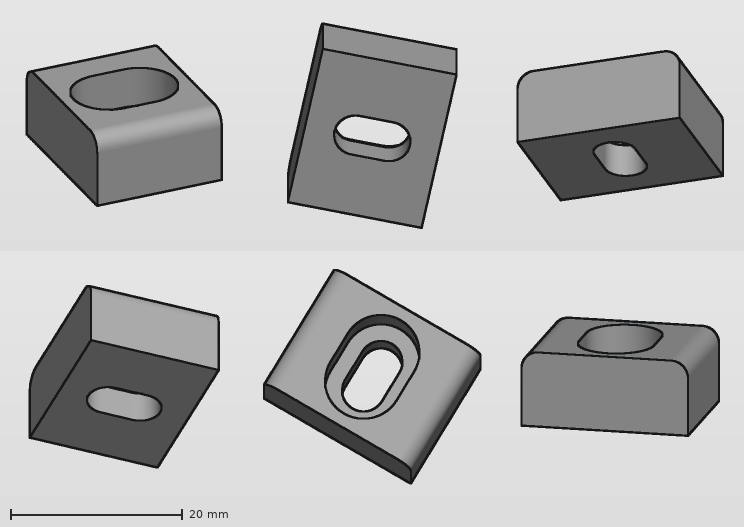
import cadquery as cq

length = 20.0
width = 16.0
height = 9.0
edge_radius = 2.0

slot_width = 5.0
slot_travel = 4.0
recess_width = 9.0
recess_depth = 5.0


def slot_cutter(slot_size, depth):
    """Round-ended slot along Y, reaching down from the top face."""
    return (
        cq.Workplane("XY")
        .workplane(offset=height - depth)
        .slot2D(slot_travel + slot_size, slot_size, angle=90)
        .extrude(depth)
    )


block = (
    cq.Workplane("XY")
    .box(length, width, height, centered=(True, True, False))
    .edges("|Y and >Z")
    .fillet(edge_radius)
)

through_slot = slot_cutter(slot_width, height)
head_recess = slot_cutter(recess_width, recess_depth)
result = block.cut(through_slot).cut(head_recess)